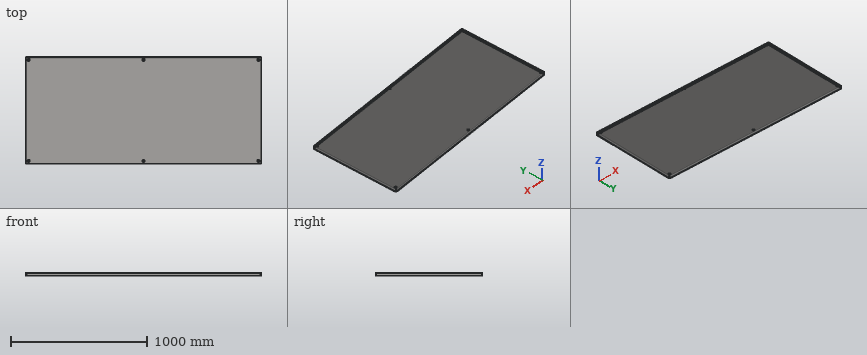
import cadquery as cq

length = 1727.0
width = 785.0
height = 22.0

sheet_thickness = 2.0
bend_radius = 4.5
corner_notch = bend_radius

hole_diameter = 14.3
hole_edge_margin = 14.3
hole_inset = hole_edge_margin + hole_diameter / 2


def channel_profile(plane, bend_edges, span, depth, radius, run):
    """Solid bar with rounded upper edges, mirrored below the open face."""
    return (
        cq.Workplane(plane)
        .rect(span, 2 * depth)
        .extrude(run / 2, both=True)
        .edges(bend_edges)
        .fillet(radius)
    )


def folded_channel(plane, bend_edges, span, run):
    """Top sheet with a flange bent down along two opposite edges."""
    outer = channel_profile(plane, bend_edges, span, height, bend_radius, run)
    inner = channel_profile(
        plane,
        bend_edges,
        span - 2 * sheet_thickness,
        height - sheet_thickness,
        bend_radius - sheet_thickness,
        run,
    )
    upper_half = cq.Workplane("XY").box(
        length, width, height, centered=(True, True, False)
    )
    return outer.cut(inner).intersect(upper_half)


long_flanges = folded_channel("YZ", "|X", width, length - 2 * corner_notch)
short_flanges = folded_channel("XZ", "|Y", length, width - 2 * corner_notch)
panel = long_flanges.union(short_flanges)

holes = (
    cq.Workplane("XY")
    .rarray(length / 2 - hole_inset, width - 2 * hole_inset, 3, 2)
    .circle(hole_diameter / 2)
    .extrude(height)
)

result = panel.cut(holes)